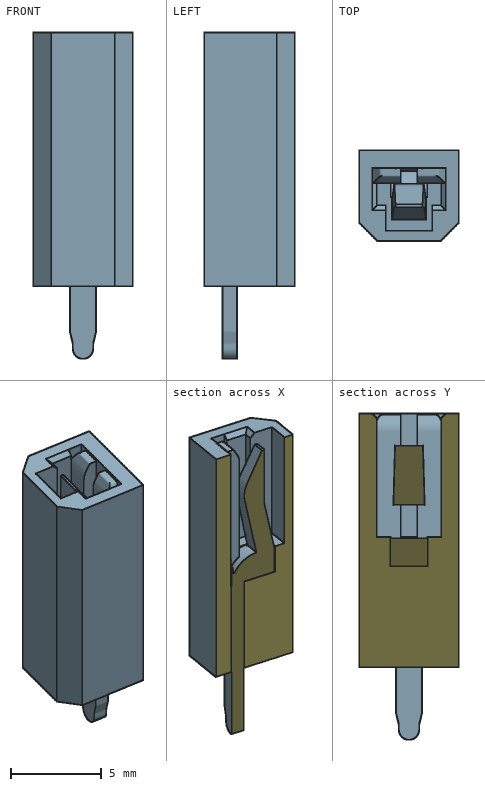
import cadquery as cq
import math


housing_width = 5.5
housing_depth = 5.0
housing_height = 14.0
corner_chamfer = 1.0
slot_half_width = 2.03
slot_back_y = 4.03
pocket_lead_in = 0.27
pocket_mouth_front_y = 1.7
key_half_width = 1.28
key_front_y = 0.55
pocket_floor_z = 7.2
slot_floor_z = 5.58

plate_front_y = 3.19
plate_thickness = 0.81
plate_back_y = plate_front_y + plate_thickness
fork_top_z = housing_height - 0.09
fork_gap = 0.92
taper_angle = 60.0
tip_front_radius = 0.1
tip_side_radius = 0.2
front_blend_radius = 1.0
top_depth = 0.43
top_half_width = 1.6
tail_length = 18.0 - housing_height
tail_width = 1.45
tail_tip_width = 1.13
tail_taper_start = 2.48
tail_taper_end = 3.15
tail_blend_radius = 0.45

tongue_contact_y = 3.17
tongue_bend_radius = 1.62
tongue_upper_lean = 28.0
tongue_lower_lean = 12.0
tongue_tip_front_y = 1.85
tongue_tip_back_y = 2.02
tongue_tip_z = housing_height - 0.38
tongue_tip_half_width = 0.74
tongue_root_half_width = 0.92

root_front_y = 1.2
root_wide_front_y = 2.41
root_wide_half_width = 1.0
root_gap = 0.04
root_radius = 1.8
root_crest_y = 2.27
root_arc_back_y = 3.83
root_ramp_angle = 80.0


def block(half_width, y_front, y_back, z_low, z_high):
    """Box centred on X = 0."""
    size = (2 * half_width, y_back - y_front, z_high - z_low)
    return cq.Workplane("XY").box(*size, centered=False).translate((-half_width, y_front, z_low))


def side_profile(half_width):
    """Workplane in Y and Z from which a profile is extruded across the whole width."""
    return cq.Workplane("YZ", origin=(-half_width, 0, 0))


def make_housing():
    body = block(housing_width / 2, 0, housing_depth, 0, housing_height)
    body = body.faces("<Y").edges("|Z").chamfer(corner_chamfer)

    slot = block(slot_half_width, plate_front_y, slot_back_y, slot_floor_z, housing_height)
    pocket_half_width = slot_half_width - pocket_lead_in
    pocket_front_y = pocket_mouth_front_y + pocket_lead_in
    pocket = block(pocket_half_width, pocket_front_y, plate_front_y, pocket_floor_z, housing_height)
    keyway = block(key_half_width, key_front_y, plate_front_y, pocket_floor_z, housing_height)
    mouth = (
        cq.Workplane("XY", origin=(0, (pocket_mouth_front_y + slot_back_y) / 2, housing_height))
        .rect(2 * slot_half_width, slot_back_y - pocket_mouth_front_y)
        .extrude(-pocket_lead_in, taper=45)
    )
    recess_half_width = tongue_root_half_width + root_gap
    recess_front_y = root_front_y - root_gap
    root_recess = block(recess_half_width, recess_front_y, plate_front_y, slot_floor_z, pocket_floor_z)
    wide_recess = block(root_wide_half_width, root_wide_front_y, plate_front_y, slot_floor_z, pocket_floor_z)
    tail_hole = block(tail_width / 2, plate_front_y, plate_back_y, 0, slot_floor_z)

    for cavity in (slot, pocket, keyway, mouth, root_recess, wide_recess, tail_hole):
        body = body.cut(cavity)
    return body


def make_fork():
    """Plate with two prongs whose tips slope down to the front and to the sides."""
    slope = math.tan(math.radians(taper_angle))
    slope_top_y = plate_back_y - top_depth
    front_drop = (slope_top_y - plate_front_y) * slope
    side_drop = (slot_half_width - top_half_width) * slope

    front_shape = (
        side_profile(slot_half_width)
        .moveTo(plate_back_y, slot_floor_z)
        .lineTo(plate_back_y, fork_top_z)
        .lineTo(slope_top_y, fork_top_z)
        .lineTo(plate_front_y, fork_top_z - front_drop)
        .lineTo(plate_front_y, slot_floor_z)
        .close()
        .extrude(2 * slot_half_width)
    )
    top_edge = cq.selectors.NearestToPointSelector((0, slope_top_y, fork_top_z))
    front_edge = cq.selectors.NearestToPointSelector((0, plate_front_y, fork_top_z - front_drop))
    front_shape = front_shape.edges(front_edge).fillet(front_blend_radius)
    front_shape = front_shape.edges(top_edge).fillet(tip_front_radius)

    width_shape = (
        cq.Workplane("XZ", origin=(0, plate_back_y, 0))
        .moveTo(-slot_half_width, slot_floor_z)
        .lineTo(-slot_half_width, fork_top_z - side_drop)
        .lineTo(-top_half_width, fork_top_z)
        .lineTo(top_half_width, fork_top_z)
        .lineTo(slot_half_width, fork_top_z - side_drop)
        .lineTo(slot_half_width, slot_floor_z)
        .close()
        .extrude(plate_thickness)
        .faces(">Z").edges("|Y").fillet(tip_side_radius)
    )
    gap = block(fork_gap / 2, plate_front_y, plate_back_y, slot_floor_z, fork_top_z)
    return front_shape.intersect(width_shape).cut(gap)


def make_tail():
    """Flat solder tail that narrows to a round tip."""
    tip_radius = tail_tip_width / 2
    pick_margin = 0.02
    tail = (
        cq.Workplane("XZ", origin=(0, plate_back_y, 0))
        .moveTo(-tail_width / 2, slot_floor_z)
        .lineTo(-tail_width / 2, -tail_taper_start)
        .lineTo(-tip_radius, -tail_taper_end)
        .lineTo(-tip_radius, tip_radius - tail_length)
        .threePointArc((0, -tail_length), (tip_radius, tip_radius - tail_length))
        .lineTo(tip_radius, -tail_taper_end)
        .lineTo(tail_width / 2, -tail_taper_start)
        .lineTo(tail_width / 2, slot_floor_z)
        .close()
        .extrude(plate_thickness)
    )
    for z in (-tail_taper_start, -tail_taper_end):
        band = cq.selectors.BoxSelector(
            (-tail_width, 0, z - pick_margin),
            (tail_width, housing_depth, z + pick_margin),
        )
        tail = tail.edges("|Y").edges(band).fillet(tail_blend_radius)
    return tail


def make_tongue():
    """Tongue with an upright front and a foot; its back bulges to the prongs below a lead-in."""
    upper = math.radians(tongue_upper_lean)
    lower = math.radians(tongue_lower_lean)
    centre_y = tongue_contact_y - tongue_bend_radius
    lead_in_run = centre_y + tongue_bend_radius * math.cos(upper) - tongue_tip_back_y
    bend_top_z = tongue_tip_z - lead_in_run / math.tan(upper)
    centre_z = bend_top_z - tongue_bend_radius * math.sin(upper)
    bend_bottom_y = centre_y + tongue_bend_radius * math.cos(lower)
    bend_bottom_z = centre_z - tongue_bend_radius * math.sin(lower)
    back_foot_y = bend_bottom_y - (bend_bottom_z - slot_floor_z) * math.tan(lower)
    front_knee_z = pocket_floor_z + (tongue_tip_front_y - root_front_y) / math.tan(lower)

    profile = (
        side_profile(tongue_root_half_width)
        .moveTo(tongue_tip_back_y, tongue_tip_z)
        .lineTo(tongue_tip_back_y + lead_in_run, bend_top_z)
        .threePointArc((tongue_contact_y, centre_z), (bend_bottom_y, bend_bottom_z))
        .lineTo(back_foot_y, slot_floor_z)
        .lineTo(root_front_y, slot_floor_z)
        .lineTo(root_front_y, pocket_floor_z)
        .lineTo(tongue_tip_front_y, front_knee_z)
        .lineTo(tongue_tip_front_y, tongue_tip_z)
        .close()
        .extrude(2 * tongue_root_half_width)
    )
    taper = (
        cq.Workplane("XZ", origin=(0, housing_depth, 0))
        .moveTo(-tongue_root_half_width, slot_floor_z)
        .lineTo(-tongue_root_half_width, pocket_floor_z)
        .lineTo(-tongue_tip_half_width, tongue_tip_z)
        .lineTo(tongue_tip_half_width, tongue_tip_z)
        .lineTo(tongue_root_half_width, pocket_floor_z)
        .lineTo(tongue_root_half_width, slot_floor_z)
        .close()
        .extrude(housing_depth)
    )
    return profile.intersect(taper)


def make_root():
    """Rounded block at the foot of the fork gap, from the plate to the tongue."""
    def crest_z(y):
        return pocket_floor_z - root_radius + math.sqrt(root_radius ** 2 - (y - root_crest_y) ** 2)

    arc_end_z = crest_z(root_arc_back_y)
    arc_middle_y = (root_crest_y + root_arc_back_y) / 2
    ramp_rise = (plate_back_y - root_arc_back_y) * math.tan(math.radians(root_ramp_angle))
    root = (
        side_profile(root_wide_half_width)
        .moveTo(root_front_y, slot_floor_z)
        .lineTo(plate_back_y, slot_floor_z)
        .lineTo(plate_back_y, arc_end_z + ramp_rise)
        .lineTo(root_arc_back_y, arc_end_z)
        .threePointArc((arc_middle_y, crest_z(arc_middle_y)), (root_crest_y, pocket_floor_z))
        .lineTo(root_front_y, pocket_floor_z)
        .close()
        .extrude(2 * root_wide_half_width)
    )
    narrow = block(tongue_root_half_width, root_front_y, plate_back_y, slot_floor_z, housing_height)
    wide = block(root_wide_half_width, root_wide_front_y, plate_back_y, slot_floor_z, housing_height)
    return root.intersect(narrow.union(wide))


def make_contact():
    return make_fork().union(make_root()).union(make_tongue()).union(make_tail())


housing = make_housing()
contact = make_contact()

result = cq.Compound.makeCompound([housing.solids().val(), contact.solids().val()])